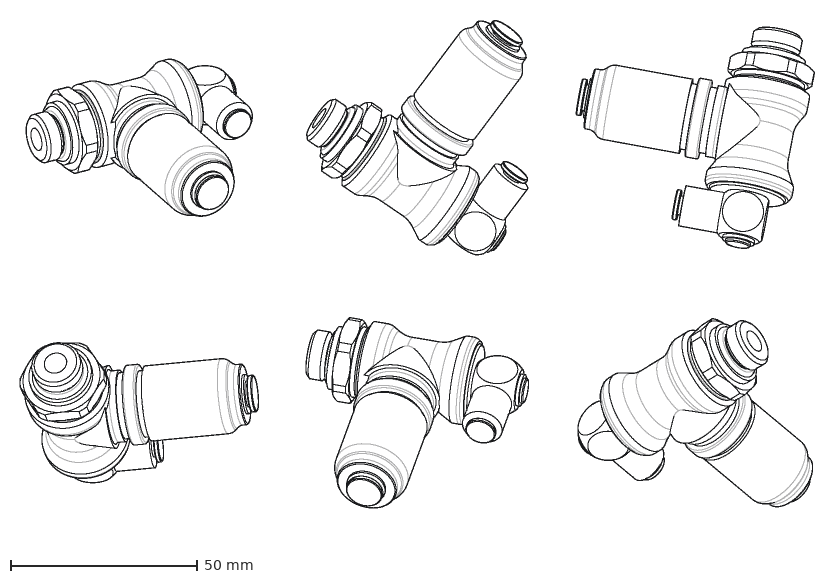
import cadquery as cq
import math


waist_radius = 9.05
waist_y = (-0.35, 6.9)
lower_radius = 11.5
lower_y = (-11.4, -7.75)
lower_flare = ((10.0, -4.4), (10.8, -5.75))
lower_foot = ((10.15, -12.1), (9.95, -12.35), (9.6, -12.7))
upper_radius = 11.895
upper_y = (14.05, 16.1)
upper_flare_end = (10.1, 10.75)
shoulder = ((11.7, 16.95), (11.1, 17.85))
lid_base_radius = 10.4
lid_radius = 10.0
body_top = 18.55

collar_radius = 9.6
nut_y = (-18.65, -14.0)
nut_across_flats = 21.05
nut_corner_radius = 11.5
nut_face_radius = nut_across_flats / 2
nut_chamfer_height = 0.6
washer_radius = 8.55
washer_bottom = -20.6
seal_radius = 7.6
seal_round = 1.0
seal_bottom = washer_bottom - seal_round
stem_radius = 6.65
stem_neck_radius = 5.6
stem_neck_bottom = -21.9
stem_top_chamfer = 1.05
stem_bottom_chamfer = 0.85
stem_bottom = -27.05
bore_radius = 3.05
bore_depth = nut_y[1] - stem_bottom

cone_end_radius = 11.2
cone_end_x = 10.15
cove_start_radius = 10.1
flange_radius = 9.65
flange_x = (11.15, 13.0)
branch_neck_radius = 8.96
ring_radius = 10.75
ring_x = (14.9, 18.5)
ring_round = 0.4
sleeve_radius = 10.15
sleeve_x = (20.1, 40.9)
sleeve_shoulder = ((43.05, 9.25), (43.4, 8.9))
nose_radius = 8.2
nose_x = (44.95, 46.55)
nose_chamfer = 0.3
branch_seat_radius = 5.3
branch_seat_end = 47.15
branch_tube_radius = 3.55
branch_collet_radius = 4.95
branch_collet_x = (47.9, 49.265)

cube_side = 12.1
cube_y = 24.45
cube_face_circle_radius = 5.5
cap_radius = 4.35
cap_height = 0.9
button_radius = 3.4
button_chamfer = 0.3
elbow_top = 32.35
elbow_arm_radius = 5.5
elbow_arm_end = 16.5
elbow_tube_radius = 2.6
elbow_collet_radius = 4.1
elbow_collet_x = (17.4, 18.65)

collet_chamfer = 0.25


def revolve_about_x(profile):
    return profile.close().revolve(360, (0, 0, 0), (1, 0, 0))


def revolve_about_y(profile):
    return profile.close().revolve(360, (0, 0, 0), (0, 1, 0))


def cylinder_along_x(radius, start, end):
    return cq.Workplane("YZ", origin=(start, 0, 0)).circle(radius).extrude(end - start)


def cylinder_along_y(radius, start, end):
    return cq.Workplane("XZ", origin=(0, end, 0)).circle(radius).extrude(end - start)


def make_body():
    """Waisted body with a lower and an upper drum."""
    profile = (
        cq.Workplane("XY")
        .moveTo(0, nut_y[1])
        .lineTo(collar_radius, nut_y[1])
        .lineTo(*lower_foot[2])
        .lineTo(*lower_foot[1])
        .lineTo(*lower_foot[0])
        .lineTo(lower_radius, lower_y[0])
        .lineTo(lower_radius, lower_y[1])
        .tangentArcPoint(lower_flare[1], relative=False)
        .lineTo(*lower_flare[0])
        .tangentArcPoint((waist_radius, waist_y[0]), relative=False)
        .lineTo(waist_radius, waist_y[1])
        .tangentArcPoint(upper_flare_end, relative=False)
        .lineTo(upper_radius, upper_y[0])
        .lineTo(upper_radius, upper_y[1])
        .tangentArcPoint(shoulder[0], relative=False)
        .lineTo(*shoulder[1])
        .lineTo(lid_base_radius, shoulder[1][1])
        .lineTo(lid_radius, body_top)
        .lineTo(0, body_top)
    )
    return revolve_about_y(profile)


def make_nut():
    """Hexagon with two flats facing +Z and -Z, corners turned down and both ends chamfered."""
    bottom, top = nut_y
    hexagon = (
        cq.Workplane("XZ", origin=(0, top, 0))
        .polygon(6, nut_across_flats / math.cos(math.pi / 6))
        .extrude(top - bottom)
    )
    turned_blank = revolve_about_y(
        cq.Workplane("XY")
        .moveTo(0, bottom)
        .lineTo(nut_face_radius, bottom)
        .lineTo(nut_corner_radius, bottom + nut_chamfer_height)
        .lineTo(nut_corner_radius, top - nut_chamfer_height)
        .lineTo(nut_face_radius, top)
        .lineTo(0, top)
    )
    return hexagon.intersect(turned_blank)


def make_stem():
    """Washer, rounded seal and chamfered threaded end below the nut."""
    seal_face_radius = seal_radius - seal_round
    profile = (
        cq.Workplane("XY")
        .moveTo(0, nut_y[0])
        .lineTo(washer_radius, nut_y[0])
        .lineTo(washer_radius, washer_bottom)
        .lineTo(seal_radius, washer_bottom)
        .radiusArc((seal_face_radius, seal_bottom), seal_round)
        .lineTo(stem_neck_radius, seal_bottom)
        .lineTo(stem_neck_radius, stem_neck_bottom)
        .lineTo(stem_radius, stem_neck_bottom - stem_top_chamfer)
        .lineTo(stem_radius, stem_bottom + stem_bottom_chamfer)
        .lineTo(stem_radius - stem_bottom_chamfer, stem_bottom)
        .lineTo(0, stem_bottom)
    )
    return revolve_about_y(profile)


def make_branch_root():
    """Cone growing out of the waist, then a cove down to the flange and a neck up to the sleeve."""
    profile = (
        cq.Workplane("XY")
        .moveTo(0, 0)
        .lineTo(0, waist_radius)
        .lineTo(cone_end_x, cone_end_radius)
        .lineTo(cone_end_x, cove_start_radius)
        .radiusArc((flange_x[0], flange_radius), -(flange_x[0] - cone_end_x))
        .lineTo(flange_x[1], flange_radius)
        .lineTo(flange_x[1], branch_neck_radius)
        .lineTo(sleeve_x[0], branch_neck_radius)
        .lineTo(sleeve_x[0], 0)
    )
    return revolve_about_x(profile)


def make_branch_ring():
    return cylinder_along_x(ring_radius, *ring_x).edges().fillet(ring_round)


def make_sleeve():
    """Long sleeve with an S-shaped shoulder down to a chamfered nose."""
    profile = (
        cq.Workplane("XY")
        .moveTo(sleeve_x[0], 0)
        .lineTo(sleeve_x[0], sleeve_radius)
        .lineTo(sleeve_x[1], sleeve_radius)
        .tangentArcPoint(sleeve_shoulder[0], relative=False)
        .lineTo(*sleeve_shoulder[1])
        .tangentArcPoint((nose_x[0], nose_radius), relative=False)
        .lineTo(nose_x[1] - nose_chamfer, nose_radius)
        .lineTo(nose_x[1], nose_radius - nose_chamfer)
        .lineTo(nose_x[1], 0)
    )
    return revolve_about_x(profile)


def make_collet(tube_radius, tube_start, collet_radius, collet_x):
    """Release collet: a short tube carrying a chamfered rim."""
    rim = cylinder_along_x(collet_radius, *collet_x).edges().chamfer(collet_chamfer)
    return cylinder_along_x(tube_radius, tube_start, collet_x[1]).union(rim)


def make_elbow():
    """Cube with sphere-cut corners, a stepped cap on +Y and a push-in arm along +X."""
    half = cube_side / 2
    rounding_radius = math.hypot(half, cube_face_circle_radius)
    block = cq.Workplane("XY").box(cube_side, cube_side, cube_side)
    block = block.intersect(cq.Workplane("XY").sphere(rounding_radius))
    arm = cylinder_along_x(elbow_arm_radius, 0, elbow_arm_end)
    collet = make_collet(elbow_tube_radius, elbow_arm_end, elbow_collet_radius, elbow_collet_x)
    elbow = block.union(arm).union(collet).translate((0, cube_y, 0))

    cap_top = cube_y + half + cap_height
    cap = cylinder_along_y(cap_radius, cube_y, cap_top)
    button = cylinder_along_y(button_radius, cap_top, elbow_top).faces(">Y").chamfer(button_chamfer)
    return elbow.union(cap).union(button)


branch_seat = cylinder_along_x(branch_seat_radius, nose_x[1], branch_seat_end)
branch_collet = make_collet(branch_tube_radius, branch_seat_end, branch_collet_radius, branch_collet_x)
bore = cylinder_along_y(bore_radius, stem_bottom, stem_bottom + bore_depth)

result = (
    make_body()
    .union(make_nut())
    .union(make_stem())
    .union(make_branch_root())
    .union(make_branch_ring())
    .union(make_sleeve())
    .union(branch_seat)
    .union(branch_collet)
    .union(make_elbow())
    .cut(bore)
)